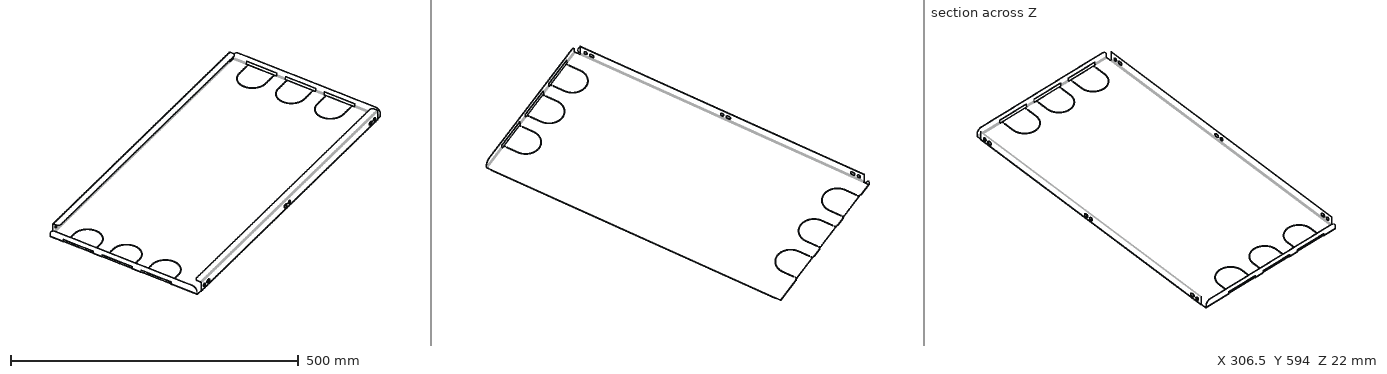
import cadquery as cq

LENGTH = 594.0
WIDTH = 306.5
HEIGHT = 22.0
SHEET = 1.0
BEND = 2.0

WALL_LENGTH = 571.5
LIP_WIDTH = 13.5
LIP_CORNER = 6.0

FLANGE_WIDTH = WIDTH - 2 * BEND
FLANGE_HEIGHT = 16.5
FLANGE_CORNER = 10.0

KNOCKOUT_PITCH = 80.0
KNOCKOUT_ROW_X = -13.0
KNOCKOUT_COUNT = 3
KNOCKOUT_RADIUS = 27.5
KNOCKOUT_DEPTH = 57.5
CUT_WIDTH = 0.9
BRIDGE_WIDTH = 3.0
BRIDGE_INSET = 6.5

WINDOW_WIDTH = 62.5
WINDOW_HEIGHT = 6.0
WINDOW_INSET = BEND

HOLE_Z = 9.0
HOLE_DIAMETER = 6.5
SLOT_LENGTH = 9.0
SLOT_OFFSET = 12.5
END_HOLE_Y = 275.0


def box(x_size, y_size, z_size, x=0, y=0, z=0):
    """Box centred on x and y with its underside at z."""
    return cq.Workplane("XY").box(x_size, y_size, z_size, (True, True, False)).translate((x, y, z))


def mirrored(body, plane):
    """The body together with its mirror image in the named plane."""
    return body.union(body.mirror(plane))


def make_floor():
    """Flat sheet between the four bends."""
    return box(WIDTH - 2 * BEND, LENGTH - 2 * BEND, SHEET)


def make_side_wall():
    """The -X wall, bent up from the floor and over into its lip."""
    outer = box(LIP_WIDTH, WALL_LENGTH, HEIGHT).edges("|Y and <X").fillet(BEND)
    hollow = (
        box(LIP_WIDTH, WALL_LENGTH, HEIGHT - 2 * SHEET, x=SHEET, z=SHEET)
        .edges("|Y and <X")
        .fillet(BEND - SHEET)
    )
    wall = outer.cut(hollow)
    lip_corners = cq.selectors.BoxSelector((0, -LENGTH, HEIGHT - SHEET), (LIP_WIDTH, LENGTH, HEIGHT))
    wall = wall.edges("|Z").edges(lip_corners).fillet(LIP_CORNER)
    return wall.translate(((LIP_WIDTH - WIDTH) / 2, 0, 0))


def make_end_flange():
    """The -Y flange with its bend and rounded upper corners."""
    bend_run = 2 * BEND
    outer = box(FLANGE_WIDTH, bend_run, FLANGE_HEIGHT).edges("|X and <Y and <Z").fillet(BEND)
    hollow = (
        box(FLANGE_WIDTH, bend_run, FLANGE_HEIGHT, y=SHEET, z=SHEET)
        .edges("|X and <Y and <Z")
        .fillet(BEND - SHEET)
    )
    flange = outer.cut(hollow).edges("|Y and >Z").fillet(FLANGE_CORNER)
    return flange.translate((0, (bend_run - LENGTH) / 2, 0))


def arch(radius, depth):
    """Round-ended plate reaching in from the -Y end of the tray."""
    straight = depth - radius
    start_y = -LENGTH / 2
    return (
        cq.Workplane("XY")
        .moveTo(-radius, start_y)
        .lineTo(-radius, start_y + straight)
        .threePointArc((0, start_y + depth), (radius, start_y + straight))
        .lineTo(radius, start_y)
        .close()
        .extrude(SHEET)
    )


def make_knockout_cut():
    """Cut line with its two bridges left out, plus the window, at the -Y end."""
    cut = arch(KNOCKOUT_RADIUS, KNOCKOUT_DEPTH)
    cut = cut.cut(arch(KNOCKOUT_RADIUS - CUT_WIDTH, KNOCKOUT_DEPTH - CUT_WIDTH))
    cut = cut.cut(box(2 * KNOCKOUT_RADIUS, BRIDGE_WIDTH, SHEET, y=BRIDGE_INSET - LENGTH / 2))
    window = box(WINDOW_WIDTH, WINDOW_INSET, WINDOW_HEIGHT, y=(WINDOW_INSET - LENGTH) / 2)
    return cut.union(window)


def make_wall_holes():
    """Tools for the hole pairs, running through both side walls."""
    wall_plane = cq.Workplane("YZ", origin=(-WIDTH / 2, 0, HOLE_Z))
    hole_places = [(END_HOLE_Y, 0), (0, 0), (-END_HOLE_Y, 0)]
    slot_places = [(END_HOLE_Y - SLOT_OFFSET, 0), (-SLOT_OFFSET, 0), (SLOT_OFFSET - END_HOLE_Y, 0)]
    holes = wall_plane.pushPoints(hole_places).circle(HOLE_DIAMETER / 2).extrude(WIDTH)
    slots = wall_plane.pushPoints(slot_places).slot2D(SLOT_LENGTH, HOLE_DIAMETER).extrude(WIDTH)
    return holes.union(slots)


result = make_floor()
result = result.union(mirrored(make_side_wall(), "YZ"))
result = result.union(mirrored(make_end_flange(), "XZ"))

knockout_cut = mirrored(make_knockout_cut(), "XZ")
for index in range(KNOCKOUT_COUNT):
    knockout_x = KNOCKOUT_ROW_X + (index - (KNOCKOUT_COUNT - 1) / 2) * KNOCKOUT_PITCH
    result = result.cut(knockout_cut.translate((knockout_x, 0, 0)))

result = result.cut(make_wall_holes())